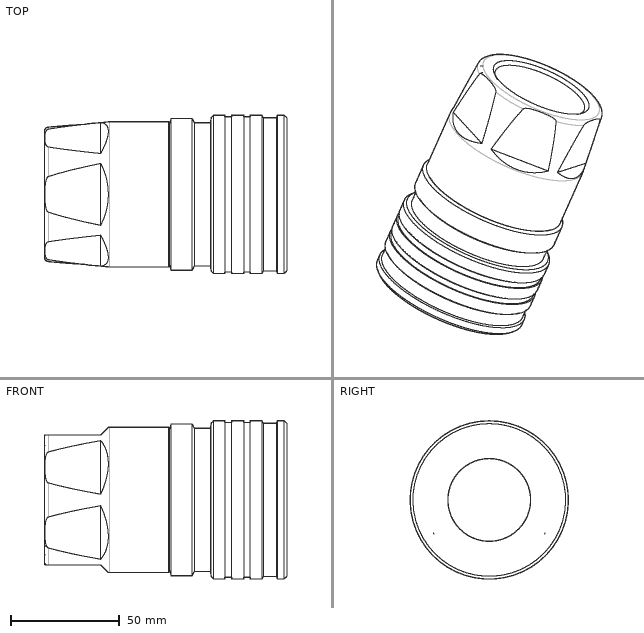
import cadquery as cq
import math

length = 111.8
band_diameter = 73.0
band_radius = band_diameter / 2

nose_end = 30.1
nose_taper = 5.0
nose_edge_round = 2.0
flat_count = 6
flat_distance = 30.0
flat_end = 25.9
flat_pitch = 360.0 / flat_count
cutter_overhang = 1.1

body_radius = 33.5
body_end = 57.2
relief_radius = 32.6
relief_bottom = 57.7
collar_radius = 35.0
collar_start = 58.4
collar_end = 68.1
collar_back_length = 1.0

neck_radius = 33.1
neck_end = 76.5
rear_start = 76.8
rear_chamfer = 1.1
ring_groove_radius = 35.8
ring_grooves = [(83.2, 86.2), (91.9, 94.8)]
seal_groove_depth = 1.1
seal_groove_radius = band_radius - seal_groove_depth
seal_groove_start = 100.2
seal_groove_end = 107.3
seal_groove_front_length = 0.7
seal_groove_back_length = 0.5
end_chamfer = 1.3

through_radius = 19.0
bore_radius = 22.4
bore_depth = 24.9
bore_mouth_radius = 23.9
bore_chamfer = bore_mouth_radius - bore_radius

nose_tip_radius = body_radius - nose_end * math.tan(math.radians(nose_taper))


def revolve_about_x(points):
    """Solid of revolution from an outline of (x, radius) points."""
    outline = cq.Workplane("XZ").polyline(points).close()
    return outline.revolve(360, (0, 0, 0), (1, 0, 0))


def make_turned_body():
    """Solid of revolution about X carrying every outside step and groove."""
    points = [
        (0, 0),
        (0, nose_tip_radius),
        (nose_end, body_radius),
        (body_end, body_radius),
        (relief_bottom, relief_radius),
        (collar_start, collar_radius),
        (collar_end, collar_radius),
        (collar_end + collar_back_length, neck_radius),
        (neck_end, neck_radius),
        (rear_start, band_radius - rear_chamfer),
        (rear_start + rear_chamfer, band_radius),
    ]
    for start, end in ring_grooves:
        points += [
            (start, band_radius),
            (start, ring_groove_radius),
            (end, ring_groove_radius),
            (end, band_radius),
        ]
    points += [
        (seal_groove_start, band_radius),
        (seal_groove_start + seal_groove_front_length, seal_groove_radius),
        (seal_groove_end - seal_groove_back_length, seal_groove_radius),
        (seal_groove_end, band_radius),
        (length - end_chamfer, band_radius),
        (length, band_radius - end_chamfer),
        (length, 0),
    ]
    return revolve_about_x(points)


def make_flat_cutter():
    """Block that cuts the top flat, with a 45 degree run-out at its rear end."""
    rise = body_radius
    section = [
        (-cutter_overhang, flat_distance),
        (flat_end, flat_distance),
        (flat_end + rise, flat_distance + rise),
        (-cutter_overhang, flat_distance + rise),
    ]
    return cq.Workplane("XZ").polyline(section).close().extrude(body_radius, both=True)


def cut_flats(body):
    """Cut the wrench flats evenly around the nose, starting at the top."""
    cutter = make_flat_cutter()
    for i in range(flat_count):
        body = body.cut(cutter.rotate((0, 0, 0), (1, 0, 0), i * flat_pitch))
    return body


def make_bore():
    """Stepped through bore with a chamfered mouth."""
    points = [
        (0, 0),
        (0, bore_mouth_radius),
        (bore_chamfer, bore_radius),
        (bore_depth, bore_radius),
        (bore_depth, through_radius),
        (length, through_radius),
        (length, 0),
    ]
    return revolve_about_x(points)


turned_body = make_turned_body().faces("<X").edges().fillet(nose_edge_round)
result = cut_flats(turned_body).cut(make_bore())